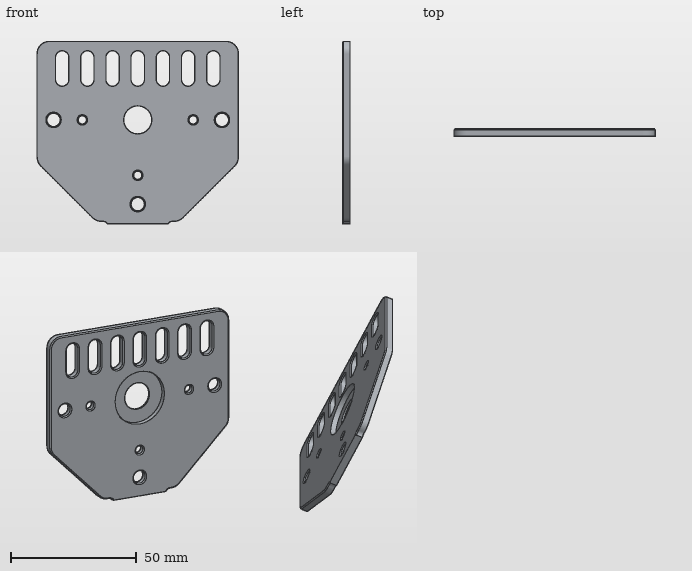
import cadquery as cq
import math

width = 80.0
height = 72.5
thickness = 3.0
half_width = width / 2
top_z = 31.2
bottom_z = top_z - height
corner_radius = 5.0
edge_chamfer = 0.5

slope_start_z = -16.8
tab_height = 1.0
tab_half_width = 12.0
tab_blend_radius = 2.0
shoulder_z = bottom_z + tab_height
shoulder_half_width = half_width - (slope_start_z - shoulder_z)

slot_count = 7
slot_pitch = 10.0
slot_width = 5.2
slot_length = 14.0
slot_center_z = 20.4

bore_diameter = 11.0
bore_lip_thickness = 0.8
recess_diameter = 22.0

outer_hole_distance = 33.4
outer_hole_diameter = 5.2
inner_hole_distance = 22.0
inner_hole_diameter = 3.2


def tab_blend_point(fraction):
    """Point on the concave right blend: 0 is at the shoulder, 1 at the bottom edge."""
    full_sweep = math.acos(1 - tab_height / tab_blend_radius)
    start_x = tab_half_width + tab_blend_radius * math.sin(full_sweep)
    x = start_x - tab_blend_radius * math.sin(fraction * full_sweep)
    z = shoulder_z - tab_blend_radius * (1 - math.cos(fraction * full_sweep))
    return x, z


def mirrored(point):
    """The same point on the left half of the plate."""
    x, z = point
    return -x, z


def make_plate():
    """Plate with rounded corners; the rear edge is chamfered except under the tab."""
    corners = [
        (half_width, top_z),
        (half_width, slope_start_z),
        (shoulder_half_width, shoulder_z),
    ]
    blend_start, blend_middle, blend_end = [tab_blend_point(fraction) for fraction in (0, 0.5, 1)]
    plate = (
        cq.Workplane("XZ")
        .polyline(corners + [blend_start])
        .threePointArc(blend_middle, blend_end)
        .lineTo(*mirrored(blend_end))
        .threePointArc(mirrored(blend_middle), mirrored(blend_start))
        .lineTo(*mirrored(corners[2]))
        .lineTo(*mirrored(corners[1]))
        .lineTo(*mirrored(corners[0]))
        .close()
        .extrude(-thickness)
    )
    for x, z in corners + [mirrored(corner) for corner in corners]:
        corner_edge = cq.selectors.NearestToPointSelector((x, thickness / 2, z))
        plate = plate.edges("|Y").edges(corner_edge).fillet(corner_radius)
    return plate.faces(">Y").edges("not <Z").chamfer(edge_chamfer)


def make_slots():
    """Row of vertical through slots, centred on X and chamfered at the rear."""
    first_x = -slot_pitch * (slot_count - 1) / 2
    centers = [(first_x + i * slot_pitch, slot_center_z) for i in range(slot_count)]
    front = cq.Workplane("XZ").pushPoints(centers)
    rear = cq.Workplane("XZ", origin=(0, thickness, 0)).pushPoints(centers)
    mouth_length = slot_length + 2 * edge_chamfer
    mouth_width = slot_width + 2 * edge_chamfer
    slots = front.slot2D(slot_length, slot_width, 90).extrude(-thickness)
    mouths = rear.slot2D(mouth_length, mouth_width, 90).extrude(edge_chamfer, taper=45)
    return slots.union(mouths)


def make_holes(distance, diameter):
    """Three through holes around the bore, chamfered at the front and the rear."""
    centers = [(-distance, 0), (distance, 0), (0, -distance)]
    front = cq.Workplane("XZ").pushPoints(centers)
    rear = cq.Workplane("XZ", origin=(0, thickness, 0)).pushPoints(centers)
    mouth_radius = diameter / 2 + edge_chamfer
    holes = front.circle(diameter / 2).extrude(-thickness)
    front_mouths = front.circle(mouth_radius).extrude(-edge_chamfer, taper=45)
    rear_mouths = rear.circle(mouth_radius).extrude(edge_chamfer, taper=45)
    return holes.union(front_mouths).union(rear_mouths)


def make_bore():
    """Through bore that leaves a thin lip in front of the rear recess."""
    bore = cq.Workplane("XZ").circle(bore_diameter / 2).extrude(-thickness)
    rear = cq.Workplane("XZ", origin=(0, thickness, 0))
    recess = rear.circle(recess_diameter / 2).extrude(thickness - bore_lip_thickness)
    return bore.union(recess)


result = (
    make_plate()
    .cut(make_slots())
    .cut(make_bore())
    .cut(make_holes(outer_hole_distance, outer_hole_diameter))
    .cut(make_holes(inner_hole_distance, inner_hole_diameter))
)